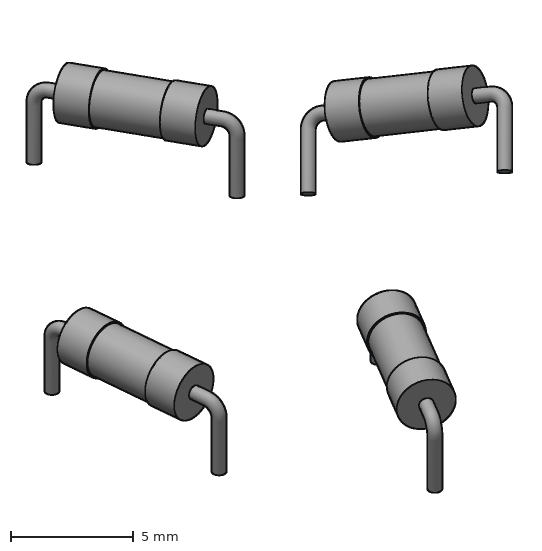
import cadquery as cq

overall_length = 9.52
overall_height = 4.57
body_length = 6.22
end_band_length = 1.55
end_band_diameter = 2.5
waist_diameter = 2.37
lead_diameter = 0.63
bend_radius = 0.63

body_end_x = body_length / 2
waist_length = body_length - 2 * end_band_length
lead_leg_x = (overall_length - lead_diameter) / 2
lead_tip_z = end_band_diameter / 2 - overall_height


def make_body():
    """Cylindrical body with a thicker band at each end, one solid."""
    full_cylinder = (
        cq.Workplane("YZ", origin=(-body_end_x, 0, 0))
        .circle(end_band_diameter / 2)
        .extrude(body_length)
    )
    waist_groove = (
        cq.Workplane("YZ", origin=(-waist_length / 2, 0, 0))
        .circle(end_band_diameter / 2)
        .circle(waist_diameter / 2)
        .extrude(waist_length)
    )
    return full_cylinder.cut(waist_groove)


def make_lead(side):
    """Round wire from the body's end face, bent down; side is -1 or +1 along X."""
    path = (
        cq.Workplane("XZ")
        .moveTo(side * body_end_x, 0)
        .lineTo(side * (lead_leg_x - bend_radius), 0)
        .tangentArcPoint((side * lead_leg_x, -bend_radius), relative=False)
        .lineTo(side * lead_leg_x, lead_tip_z)
    )
    end_face = cq.Workplane("YZ", origin=(side * body_end_x, 0, 0))
    return end_face.circle(lead_diameter / 2).sweep(path)


body = make_body()
leads = [make_lead(side) for side in (-1, 1)]

result = cq.Compound.makeCompound([body.val(), *[lead.val() for lead in leads]])